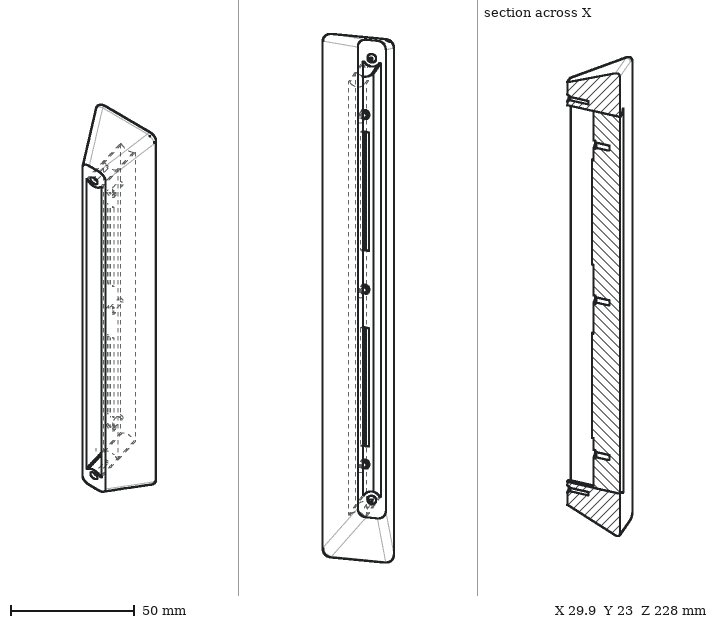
import math

import cadquery as cq

length = 228.0
width = 29.9
depth = 23.0

side_taper = 23.0
end_taper = 25.0
corner_radius = 3.9
back_edge_radius = 1.4

channel_width = 7.5
channel_length = 188.8
recess_depth = 11.5
insert_depth = depth - recess_depth

end_screw_z = 96.2
boss_radius = 3.6
end_screw_diameter = 1.4
end_screw_head_diameter = 3.6
end_screw_head_angle = 90
end_screw_depth = 9.1

insert_screw_z = 76.1
insert_screw_diameter = 2.3
insert_screw_depth = 6.8
counterbore_diameter = 3.9
counterbore_depth = 1.0

rib_inner_z = 16.9
rib_outer_z = 68.5
rib_width = 3.5
rib_top_width = 0.7
rib_height = 0.7


def front_workplane(y):
    """Workplane at the given Y whose normal points to the front (-Y) and whose local y runs along Z."""
    return cq.Workplane("XZ", origin=(0, y, 0))


def sharp_back_size(outer_size, taper):
    """Size of the back face before its edges are rounded, so that the rounded body spans outer_size."""
    angle = math.radians(taper)
    lost_per_side = back_edge_radius * (math.tan(angle) + 1 / math.cos(angle) - 1)
    return outer_size + 2 * lost_per_side


def front_size(back_size, taper):
    """Size of the front face, reached from the back face over the full depth."""
    return back_size - 2 * depth * math.tan(math.radians(taper))


def make_tapered_block():
    back_width = sharp_back_size(width, side_taper)
    back_length = sharp_back_size(length, end_taper)
    block = (
        front_workplane(0)
        .rect(back_width, back_length)
        .workplane(offset=depth)
        .rect(front_size(back_width, side_taper), front_size(back_length, end_taper))
        .loft(ruled=True)
    )
    slanted_edges = block.edges("not(#Y)")
    block = slanted_edges.fillet(corner_radius)
    return block.faces(">Y").edges().fillet(back_edge_radius)


def make_channel(channel_depth):
    """Channel volume from the back face forwards, with a round bite out of each end for the bosses."""
    channel = front_workplane(0).rect(channel_width, channel_length).extrude(channel_depth)
    bosses = (
        front_workplane(0)
        .pushPoints([(0, -end_screw_z), (0, end_screw_z)])
        .circle(boss_radius)
        .extrude(channel_depth)
    )
    return channel.cut(bosses)


def make_housing():
    housing = make_tapered_block().cut(make_channel(depth))
    return (
        housing.copyWorkplane(front_workplane(-depth))
        .pushPoints([(0, -end_screw_z), (0, end_screw_z)])
        .cskHole(end_screw_diameter, end_screw_head_diameter, end_screw_head_angle, end_screw_depth)
    )


def make_rib(bottom_z):
    """Rib of trapezoidal section standing on the front of the insert."""
    base_y = -insert_depth
    top_y = base_y - rib_height
    section = [
        (-rib_width / 2, base_y),
        (rib_width / 2, base_y),
        (rib_top_width / 2, top_y),
        (-rib_top_width / 2, top_y),
    ]
    rib_length = rib_outer_z - rib_inner_z
    return cq.Workplane("XY", origin=(0, 0, bottom_z)).polyline(section).close().extrude(rib_length)


def make_insert():
    insert = (
        make_channel(insert_depth)
        .copyWorkplane(front_workplane(-insert_depth))
        .pushPoints([(0, -insert_screw_z), (0, 0), (0, insert_screw_z)])
        .cboreHole(insert_screw_diameter, counterbore_diameter, counterbore_depth, insert_screw_depth)
    )
    for bottom_z in (rib_inner_z, -rib_outer_z):
        insert = insert.union(make_rib(bottom_z))
    return insert


housing = make_housing()
insert = make_insert()

result = cq.Compound.makeCompound([housing.solids().val(), insert.solids().val()])